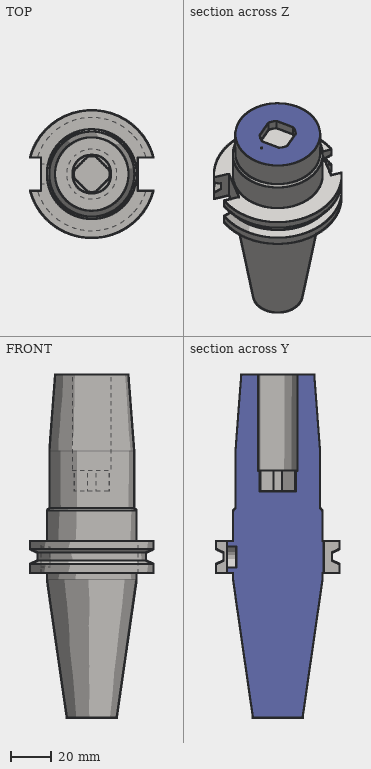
import cadquery as cq

total_length = 169.8
gauge_height = 68.3
gauge_to_flange = 3.2
flange_thickness = 16.0
collar_height = 16.3
collar_chamfer = 1.2
nose_cone_length = 37.9

small_end_diameter = 24.8
gauge_diameter = 44.5
flange_diameter = 63.4
groove_diameter = 56.2
collar_diameter = 44.5
body_diameter = 42.1
nose_diameter = 36.3

upper_rim = 4.0
lower_rim = 4.6
groove_flank = 1.7

slot_width = 16.3
slot_floor_left = 25.1
slot_floor_right = 22.8
chip_hole_diameter = 10.0
chip_hole_depth = 4.6

bore_diameter = 19.2
bore_depth = 47.5
recess_round_diameter = 17.7
recess_square_side = 15.1
recess_depth = 10.2

flange_bottom = gauge_height + gauge_to_flange
flange_top = flange_bottom + flange_thickness
flange_middle = (flange_bottom + flange_top) / 2
collar_top = flange_top + collar_height


def make_body():
    """Revolve the taper, flange with gripper groove, collar and nose."""
    flange_radius = flange_diameter / 2
    groove_radius = groove_diameter / 2
    groove_bottom = flange_bottom + lower_rim
    groove_top = flange_top - upper_rim
    profile = [
        (0, 0),
        (small_end_diameter / 2, 0),
        (gauge_diameter / 2, gauge_height),
        (gauge_diameter / 2, flange_bottom),
        (flange_radius, flange_bottom),
        (flange_radius, groove_bottom),
        (groove_radius, groove_bottom + groove_flank),
        (groove_radius, groove_top - groove_flank),
        (flange_radius, groove_top),
        (flange_radius, flange_top),
        (collar_diameter / 2, flange_top),
        (collar_diameter / 2, collar_top - collar_chamfer),
        (body_diameter / 2, collar_top),
        (body_diameter / 2, total_length - nose_cone_length),
        (nose_diameter / 2, total_length),
        (0, total_length),
    ]
    return cq.Workplane("XZ").polyline(profile).close().revolve(360, (0, 0), (0, 1))


def make_slot(floor_distance, side):
    """Block outside one slot floor; side is -1 for -X and +1 for +X."""
    reach = flange_diameter / 2
    center = (side * (floor_distance + reach / 2), 0, flange_middle)
    return cq.Workplane("XY", origin=center).box(reach, slot_width, flange_thickness)


def make_chip_hole():
    """Blind round pocket in the floor of the -X slot."""
    start = (-slot_floor_left, 0, flange_middle)
    return cq.Workplane("YZ", origin=start).circle(chip_hole_diameter / 2).extrude(chip_hole_depth)


def make_bore():
    """Round tool bore, continued by a square recess with rounded-off corners."""
    bore_floor = total_length - bore_depth
    bore = (
        cq.Workplane("XY", origin=(0, 0, bore_floor))
        .circle(bore_diameter / 2)
        .extrude(bore_depth)
    )
    recess_plane = cq.Workplane("XY", origin=(0, 0, bore_floor - recess_depth))
    square = (
        recess_plane.transformed(rotate=(0, 0, 45))
        .rect(recess_square_side, recess_square_side)
        .extrude(recess_depth)
    )
    recess = recess_plane.circle(recess_round_diameter / 2).extrude(recess_depth).intersect(square)
    return bore.union(recess)


result = (
    make_body()
    .cut(make_slot(slot_floor_left, -1))
    .cut(make_slot(slot_floor_right, 1))
    .cut(make_chip_hole())
    .cut(make_bore())
)